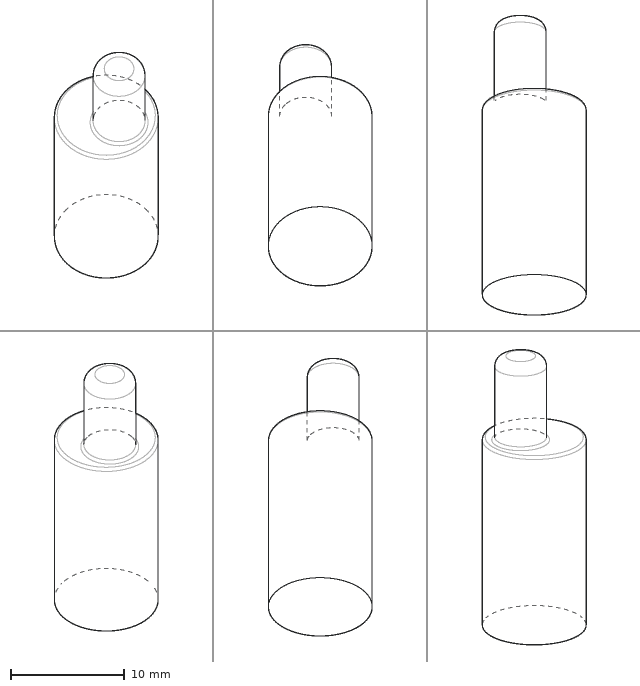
import cadquery as cq

total_height = 26.0
body_diameter = 9.2
body_height = 18.0

pin_diameter = body_diameter / 2
pin_offset = 1.35
pin_height = total_height - body_height

pin_tip_radius = 1.0
edge_radius = 0.25


def make_body():
    """Cylinder with a rounded upper rim, standing on Z = 0."""
    cylinder = cq.Workplane("XY").circle(body_diameter / 2).extrude(body_height)
    return cylinder.faces(">Z").edges().fillet(edge_radius)


def make_pin():
    """Pin with a rounded tip, shifted along +X from the body axis."""
    cylinder = (
        cq.Workplane("XY", origin=(pin_offset, 0, body_height))
        .circle(pin_diameter / 2)
        .extrude(pin_height)
    )
    return cylinder.faces(">Z").edges().fillet(pin_tip_radius)


joined = make_body().union(make_pin())
pin_root = cq.selectors.RadiusNthSelector(0)
body_top = joined.faces("|Z").faces("<Z[1]")
result = body_top.edges(pin_root).fillet(edge_radius)